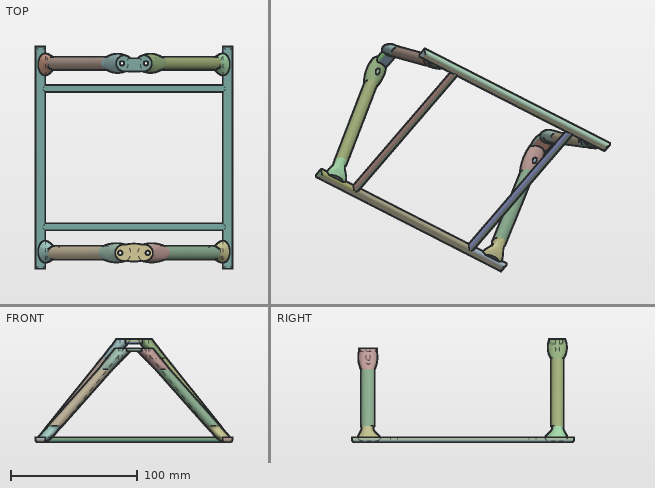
import cadquery as cq
import math

FRAME_X = 156.0
FRAME_Y = 175.9
FRAME_HEIGHT = 4.2
RAIL_WIDTH = 8.0
CROSSBAR_WIDTH = 5.6
CROSSBAR_Y = 54.7
BOTTOM_ROUND = 2.5

FOOT_X = 70.2
TOP_X = 7.7
FOOT_SHIFT = 0.9
ROOT_Z = 1.4
ROOT_HALF_X = 4.5
ROOT_WIDTH = 15.0
FOOT_HALF_X = 5.6
FOOT_WIDTH = 17.5
ANKLE_RISE = 3.9
ANKLE_WIDTH = 12.3
SHANK_RISE = 8.8
SHANK_HALF_X = 5.8
KNUCKLE_WIDTH = 15.5
KNUCKLE_DROP = 6.5

HOLE_DIAMETER = 3.3
OVAL_POINTS = 12

BACK_ARCH = dict(
    leg_y=74.5, height=82.0, shank_width=10.5, neck_drop=15.5,
    top_width=12.7, top_half_x=6.3, knuckle_half_x=6.0,
    bridge_y=73.3, bridge_width=10.9, bridge_end_width=9.8, bridge_thickness=4.0, hole_spacing=19.0,
)
FRONT_ARCH = dict(
    leg_y=-75.3, height=74.5, shank_width=11.3, neck_drop=16.7,
    top_width=13.0, top_half_x=7.2, knuckle_half_x=6.9,
    bridge_y=-75.1, bridge_width=14.5, bridge_end_width=12.0, bridge_thickness=2.5, hole_spacing=21.8,
)


def make_frame():
    rail_x = (FRAME_X - RAIL_WIDTH) / 2
    rails = (
        cq.Workplane("XY")
        .pushPoints([(-rail_x, 0), (rail_x, 0)])
        .rect(RAIL_WIDTH, FRAME_Y)
        .extrude(FRAME_HEIGHT)
    )
    crossbars = (
        cq.Workplane("XY")
        .pushPoints([(0, -CROSSBAR_Y), (0, CROSSBAR_Y)])
        .rect(FRAME_X - RAIL_WIDTH, CROSSBAR_WIDTH)
        .extrude(FRAME_HEIGHT)
    )
    return rails.union(crossbars).faces("<Z").edges().fillet(BOTTOM_ROUND)


def make_oval(centre, half_x, half_y):
    """Level elliptical wire whose start is always on its +X side, so lofts do not twist."""
    step = math.tau / OVAL_POINTS
    points = [(half_x * math.cos(i * step), half_y * math.sin(i * step)) for i in range(OVAL_POINTS)]
    return cq.Workplane("XY", origin=centre).spline(points, periodic=True).wire().val()


def make_leg(arch, side):
    """Sloping leg of foot, shank and knuckle; side is -1 or +1 along X."""
    height = arch["height"]
    leg_y = arch["leg_y"]
    foot_y = leg_y - math.copysign(FOOT_SHIFT, leg_y)
    slope = (TOP_X - FOOT_X) / (height - FRAME_HEIGHT)

    def section(z, half_x, width_y, centre_y=leg_y):
        centre_x = side * (FOOT_X + slope * (z - FRAME_HEIGHT))
        return make_oval((centre_x, centre_y, z), half_x, width_y / 2)

    shank_bottom = section(FRAME_HEIGHT + SHANK_RISE, SHANK_HALF_X, arch["shank_width"])
    shank_top = section(height - arch["neck_drop"], SHANK_HALF_X, arch["shank_width"])
    foot = [
        section(ROOT_Z, ROOT_HALF_X, ROOT_WIDTH, foot_y),
        section(FRAME_HEIGHT, FOOT_HALF_X, FOOT_WIDTH, foot_y),
        section(FRAME_HEIGHT + ANKLE_RISE, FOOT_HALF_X, ANKLE_WIDTH),
        shank_bottom,
    ]
    knuckle = [
        shank_top,
        section(height - KNUCKLE_DROP, arch["knuckle_half_x"], KNUCKLE_WIDTH),
        section(height, arch["top_half_x"], arch["top_width"]),
    ]
    leg = cq.Workplane(cq.Solid.makeLoft([shank_bottom, shank_top]))
    for end_sections in (foot, knuckle):
        leg = leg.union(cq.Workplane(cq.Solid.makeLoft(end_sections)))
    return leg


def make_bridge(arch):
    """Flat-topped bar with bowed sides and a rounded underside joining the two knuckles."""
    thickness = arch["bridge_thickness"]
    middle_y = arch["bridge_width"] / 2
    end_y = arch["bridge_end_width"] / 2
    return (
        cq.Workplane("XY", origin=(0, arch["bridge_y"], arch["height"] - thickness))
        .moveTo(-TOP_X, -end_y)
        .threePointArc((0, -middle_y), (TOP_X, -end_y))
        .lineTo(TOP_X, end_y)
        .threePointArc((0, middle_y), (-TOP_X, end_y))
        .close()
        .extrude(thickness)
        .faces("<Z")
        .edges("not |Y")
        .fillet(thickness / 2)
    )


def make_arch(arch):
    body = make_bridge(arch)
    for side in (-1, 1):
        body = body.union(make_leg(arch, side))
    hole_x = arch["hole_spacing"] / 2
    holes = (
        cq.Workplane("XY", origin=(0, arch["leg_y"], FRAME_HEIGHT))
        .pushPoints([(-hole_x, 0), (hole_x, 0)])
        .circle(HOLE_DIAMETER / 2)
        .extrude(arch["height"])
    )
    return body.cut(holes)


result = make_frame()
for arch in (BACK_ARCH, FRONT_ARCH):
    result = result.union(make_arch(arch))